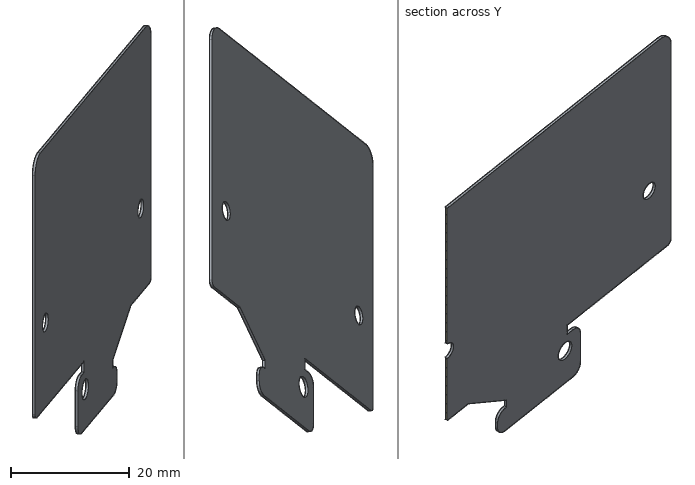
import cadquery as cq

thickness = 0.5
plate_width = 65.0
total_height = 60.0
plate_bottom = 12.55
top_radius = 3.0
bottom_radius = 1.0

tab_left = 13.45
tab_right = -8.5
tab_radius = 2.0
left_shoulder = 5.1
right_shoulder = 10.5
neck_left = 11.05
neck_right = -5.0
slope_start = 21.2
slope_end_height = 6.55

plate_hole_diameter = 3.2
plate_hole_offset = 26.7
plate_hole_height = 28.0
tab_hole_diameter = 3.6
tab_hole_y = -4.4
tab_hole_height = 7.2


def plate():
    height = total_height - plate_bottom
    body = (
        cq.Workplane("YZ")
        .center(0, plate_bottom + height / 2)
        .rect(plate_width, height)
        .extrude(thickness)
    )
    body = body.edges("|X and >Z").fillet(top_radius)
    return body.edges("|X and <Z").fillet(bottom_radius)


def tab():
    """Stepped tab with a sloped neck on the +Y side and a square notch on the -Y side."""
    outline = [
        (slope_start, plate_bottom),
        (neck_left, slope_end_height),
        (neck_left, left_shoulder),
        (tab_left, left_shoulder),
        (tab_left, 0),
        (tab_right, 0),
        (tab_right, right_shoulder),
        (neck_right, right_shoulder),
        (neck_right, plate_bottom),
    ]
    body = cq.Workplane("YZ").polyline(outline).close().extrude(thickness)
    outer_corners = [
        (tab_left, left_shoulder),
        (tab_left, 0),
        (tab_right, 0),
        (tab_right, right_shoulder),
    ]
    for y, z in outer_corners:
        corner = cq.selectors.NearestToPointSelector((thickness / 2, y, z))
        body = body.edges("|X").edges(corner).fillet(tab_radius)
    return body


def hole(y, z, diameter):
    return cq.Workplane("YZ").center(y, z).circle(diameter / 2).extrude(thickness)


result = plate().union(tab())
for side in (-1, 1):
    result = result.cut(hole(side * plate_hole_offset, plate_hole_height, plate_hole_diameter))
result = result.cut(hole(tab_hole_y, tab_hole_height, tab_hole_diameter))